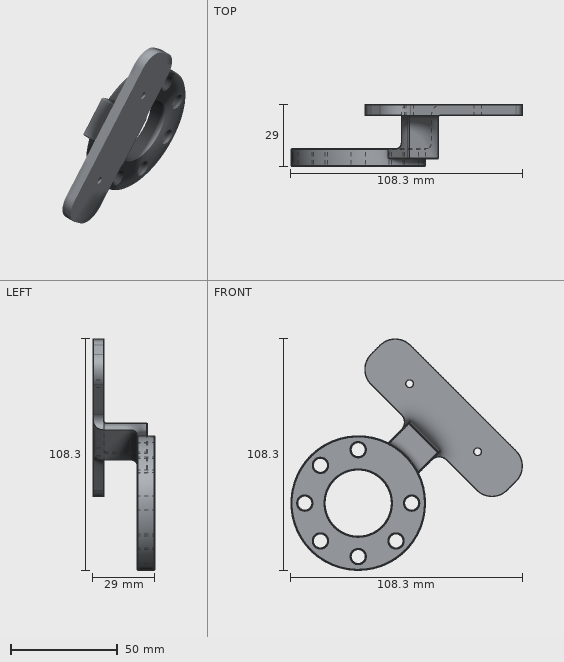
import cadquery as cq
import math

flange_diameter = 63
flange_thickness = 8.5
bore_diameter = 31
bolt_diameter = 6.6
bolt_circle_radius = 25
bolt_positions = 8
edge_chamfer = 0.5

bracket_angle = 45
bracket_width = 20
bracket_thickness = 5
flange_clearance = 12
bracket_reach = flange_diameter / 2 + flange_clearance
inner_bend_radius = 3
outer_bend_radius = bracket_thickness
root_fillet_radius = 1

plate_thickness = 5
plate_length = 90
plate_height = 26
plate_corner_radius = 10
plate_back = 29
plate_hole_diameter = 3.5
plate_hole_spacing = 45
neck_fillet_radius = 5

plate_front = plate_back - plate_thickness
arm_front = flange_thickness - bracket_thickness
column_inner = bracket_reach - bracket_thickness
arm_start = (flange_diameter + bore_diameter) / 4
plate_middle = bracket_reach + plate_height / 2
half_width = bracket_width / 2


def front_plane_at(depth):
    """Sketch plane at Y = depth that reads (X, Z); a negative extrusion runs toward +Y."""
    return cq.Workplane("XZ", origin=(0, depth, 0))


def make_flange():
    ring = front_plane_at(0).circle(flange_diameter / 2).circle(bore_diameter / 2).extrude(-flange_thickness)
    first_angle = math.radians(bracket_angle)
    step = 2 * math.pi / bolt_positions
    bolt_angles = [first_angle + i * step for i in range(1, bolt_positions)]
    bolt_points = [
        (bolt_circle_radius * math.cos(angle), bolt_circle_radius * math.sin(angle))
        for angle in bolt_angles
    ]
    bolts = front_plane_at(0).pushPoints(bolt_points).circle(bolt_diameter / 2).extrude(-flange_thickness)
    return ring.cut(bolts).faces("<Y or >Y").edges().chamfer(edge_chamfer)


def make_bracket():
    strip = (
        cq.Workplane("XY")
        .moveTo(arm_start, arm_front)
        .lineTo(bracket_reach, arm_front)
        .lineTo(bracket_reach, plate_front)
        .lineTo(column_inner, plate_front)
        .lineTo(column_inner, flange_thickness + inner_bend_radius)
        .radiusArc((column_inner - inner_bend_radius, flange_thickness), inner_bend_radius)
        .lineTo(arm_start, flange_thickness)
        .close()
        .extrude(half_width, both=True)
    )
    outer_edges = strip.faces("<Y").edges("not <X").add(strip.faces(">X").edges("|Y"))
    return strip.newObject(outer_edges.vals()).chamfer(edge_chamfer)


def make_plate():
    plate = (
        front_plane_at(plate_front)
        .center(plate_middle, 0)
        .rect(plate_height, plate_length)
        .extrude(-plate_thickness)
        .edges("|Y")
        .fillet(plate_corner_radius)
    )
    holes = (
        front_plane_at(plate_front)
        .pushPoints([(plate_middle, side * plate_hole_spacing / 2) for side in (-1, 1)])
        .circle(plate_hole_diameter / 2)
        .extrude(-plate_thickness)
    )
    return plate.cut(holes)


def make_neck():
    flare = half_width + neck_fillet_radius
    tab = (
        front_plane_at(plate_front)
        .moveTo(bracket_reach, -flare)
        .radiusArc((column_inner, -half_width), -neck_fillet_radius)
        .lineTo(column_inner, half_width)
        .radiusArc((bracket_reach, flare), -neck_fillet_radius)
        .close()
        .extrude(-plate_thickness)
    )
    bend = (
        cq.Workplane("XY")
        .moveTo(column_inner, plate_front)
        .radiusArc((bracket_reach, plate_back), outer_bend_radius)
        .lineTo(bracket_reach, plate_front)
        .close()
        .extrude(flare, both=True)
    )
    return tab.intersect(bend)


def make_bracketed_plate():
    body = make_plate().union(make_neck()).union(make_bracket())
    margin = edge_chamfer / 10
    root_box = cq.selectors.BoxSelector(
        (bracket_reach - edge_chamfer - margin, plate_front - margin, -half_width - margin),
        (bracket_reach + margin, plate_front + margin, half_width + margin),
    )
    body = body.edges(root_box).fillet(root_fillet_radius)
    return body.rotate((0, 0, 0), (0, 1, 0), -bracket_angle)


result = make_flange().union(make_bracketed_plate())